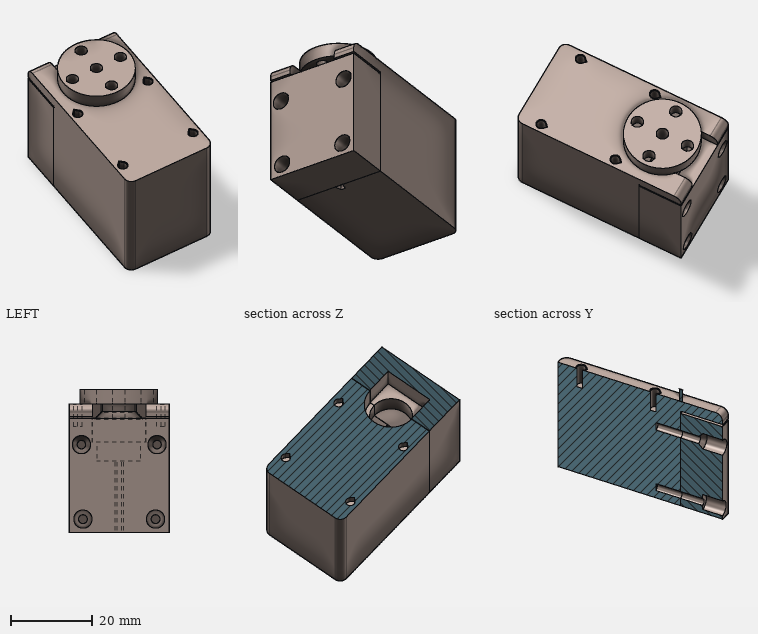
import cadquery as cq
import math

LENGTH = 46.35
WIDTH = 24.7
HEIGHT = 35.33
DISC_THICKNESS = 3.6
HOUSING_HEIGHT = HEIGHT - DISC_THICKNESS
EDGE_RADIUS = 2.0

SPINDLE_X = 11.78
BLOCK_HEIGHT = 28.1
BLOCK_GAP = 0.5

SPINDLE_Y = 0.115
DISC_DIAMETER = 19.2
DISC_HOLE_DIAMETER = 3.0
DISC_HOLE_CIRCLE_RADIUS = 7.0
NECK_RADIUS = 8.0 / 2
NECK_LENGTH = 1.8
COLLAR_RADIUS = 6.05
NECK_BOTTOM = HOUSING_HEIGHT - NECK_LENGTH
COLLAR_BOTTOM = NECK_BOTTOM - (COLLAR_RADIUS - NECK_RADIUS)

BORE_RADIUS = 8.7 / 2
BORE_LENGTH = 2.05
CAVITY_RADIUS = 13.1 / 2
CAVITY_TOP = HOUSING_HEIGHT - 3.45
FLARE_TOP = HOUSING_HEIGHT - BORE_LENGTH
FLARE_RADIUS = BORE_RADIUS + FLARE_TOP - CAVITY_TOP
CAVITY_FLOOR = BLOCK_HEIGHT - 5.8
POCKET_FRONT = 4.7
WELL_RADIUS = 5.35
WELL_DEPTH = 4.65
WELL_FLOOR = CAVITY_FLOOR - WELL_DEPTH

DRAIN_LENGTH = 1.85
DRAIN_FRONT_WIDTH = 2.15
DRAIN_REAR_WIDTH = 1.2

TEARDROP_RADIUS = 2.2 / 2
TEARDROP_CHAMFER = 0.2
TEARDROP_DEPTH = 5.55
TEARDROP_XS = (19.5, 40.25)
TEARDROP_Y = 10.25

SCREW_HEAD_RADIUS = 4.5 / 2
SCREW_HEAD_DEPTH = 5.55
UPPER_SCREW_RADIUS = 2.1 / 2
UPPER_SCREW_Y = 9.3
UPPER_SCREW_Z = 21.7
LOWER_SCREW_RADIUS = 2.2 / 2
LOWER_SCREW_Y = 8.95
LOWER_SCREW_Z = 3.35
SCREW_DEPTH_IN_HOUSING = 6.95


def box(x_min, x_max, width, z_min, z_max):
    """Box centred on Y = 0."""
    return (
        cq.Workplane("XY", origin=(x_min, 0, z_min))
        .box(x_max - x_min, width, z_max - z_min, centered=(False, True, False))
    )


def turned(profile):
    """Solid of revolution about the spindle axis from (radius, z) points."""
    return (
        cq.Workplane("XZ")
        .polyline(profile)
        .close()
        .revolve(360, (0, 0, 0), (0, 1, 0))
        .translate((SPINDLE_X, SPINDLE_Y, 0))
    )


def teardrop(radius):
    """Closed teardrop outline in XY, centred on its round part, with the tip toward -X."""
    tangent = radius * math.sqrt(0.5)
    tip = -radius * math.sqrt(2)
    return (
        cq.Workplane("XY")
        .moveTo(tip, 0)
        .lineTo(-tangent, tangent)
        .threePointArc((radius, 0), (-tangent, -tangent))
        .close()
    )


def teardrop_cutter():
    """Blind teardrop hole with a chamfered mouth at Z = 0."""
    hole = teardrop(TEARDROP_RADIUS).extrude(-TEARDROP_DEPTH)
    mouth = teardrop(TEARDROP_RADIUS + TEARDROP_CHAMFER).extrude(-TEARDROP_CHAMFER, taper=45)
    return hole.union(mouth)


def screw_cutter(hole_radius, cone_length):
    """Stepped screw hole along +X from X = 0; the head seat is flat when cone_length is 0."""
    head = cq.Workplane("YZ").circle(SCREW_HEAD_RADIUS).extrude(SCREW_HEAD_DEPTH)
    hole = cq.Workplane("YZ").circle(hole_radius).extrude(SPINDLE_X + SCREW_DEPTH_IN_HOUSING)
    cutter = head.union(hole)
    if cone_length > 0:
        seat = cq.Solid.makeCone(
            SCREW_HEAD_RADIUS, hole_radius, cone_length,
            cq.Vector(SCREW_HEAD_DEPTH, 0, 0), cq.Vector(1, 0, 0),
        )
        cutter = cutter.union(cq.Workplane(seat))
    return cutter


def cut_screw_holes(body):
    """Cut the two countersunk upper and two flat-seated lower screw holes."""
    upper = screw_cutter(UPPER_SCREW_RADIUS, SCREW_HEAD_RADIUS - UPPER_SCREW_RADIUS)
    lower = screw_cutter(LOWER_SCREW_RADIUS, 0)
    for side in (-1, 1):
        body = body.cut(upper.translate((0, side * UPPER_SCREW_Y, UPPER_SCREW_Z)))
        body = body.cut(lower.translate((0, side * LOWER_SCREW_Y, LOWER_SCREW_Z)))
    return body


def make_well():
    """Round well below the cavity floor, shared by the housing and the block."""
    return (
        cq.Workplane("XY", origin=(SPINDLE_X, SPINDLE_Y, WELL_FLOOR))
        .circle(WELL_RADIUS)
        .extrude(WELL_DEPTH)
    )


def make_housing():
    body = box(0, LENGTH, WIDTH, 0, HOUSING_HEIGHT)
    body = body.edges("|Z and >X").fillet(EDGE_RADIUS)
    body = body.edges("|Y and <X and >Z").fillet(EDGE_RADIUS)

    body = body.cut(box(0, SPINDLE_X, WIDTH, 0, BLOCK_HEIGHT + BLOCK_GAP))
    body = body.cut(box(0, SPINDLE_X, 2 * CAVITY_RADIUS, 0, HOUSING_HEIGHT))

    body = body.cut(
        turned(
            [
                (0, HOUSING_HEIGHT),
                (BORE_RADIUS, HOUSING_HEIGHT),
                (BORE_RADIUS, FLARE_TOP),
                (FLARE_RADIUS, CAVITY_TOP),
                (CAVITY_RADIUS, CAVITY_TOP),
                (CAVITY_RADIUS, CAVITY_FLOOR),
                (0, CAVITY_FLOOR),
            ]
        )
    )
    body = body.cut(make_well())

    drain = (
        cq.Workplane("XY")
        .moveTo(SPINDLE_X, -DRAIN_FRONT_WIDTH / 2)
        .lineTo(SPINDLE_X + DRAIN_LENGTH, -DRAIN_REAR_WIDTH / 2)
        .lineTo(SPINDLE_X + DRAIN_LENGTH, DRAIN_REAR_WIDTH / 2)
        .lineTo(SPINDLE_X, DRAIN_FRONT_WIDTH / 2)
        .close()
        .extrude(WELL_FLOOR)
    )
    body = body.cut(drain)

    for x in TEARDROP_XS:
        for side in (-1, 1):
            body = body.cut(teardrop_cutter().translate((x, side * TEARDROP_Y, HOUSING_HEIGHT)))

    return cut_screw_holes(body)


def make_block():
    body = box(0, SPINDLE_X, WIDTH, 0, BLOCK_HEIGHT)
    body = body.cut(box(POCKET_FRONT, SPINDLE_X, 2 * CAVITY_RADIUS, CAVITY_FLOOR, BLOCK_HEIGHT))
    body = body.cut(make_well())
    return cut_screw_holes(body)


def make_spindle():
    disc_radius = DISC_DIAMETER / 2
    hole_radius = DISC_HOLE_DIAMETER / 2
    body = turned(
        [
            (hole_radius, HEIGHT),
            (disc_radius, HEIGHT),
            (disc_radius, HOUSING_HEIGHT),
            (NECK_RADIUS, HOUSING_HEIGHT),
            (NECK_RADIUS, NECK_BOTTOM),
            (COLLAR_RADIUS, COLLAR_BOTTOM),
            (hole_radius, COLLAR_BOTTOM),
        ]
    )
    mounting_holes = (
        cq.Workplane("XY", origin=(SPINDLE_X, SPINDLE_Y, HOUSING_HEIGHT))
        .polarArray(DISC_HOLE_CIRCLE_RADIUS, 0, 360, 4)
        .circle(hole_radius)
        .extrude(DISC_THICKNESS)
    )
    return body.cut(mounting_holes)


housing = make_housing()
block = make_block()
spindle = make_spindle()

result = cq.Compound.makeCompound([housing.val(), block.val(), spindle.val()])